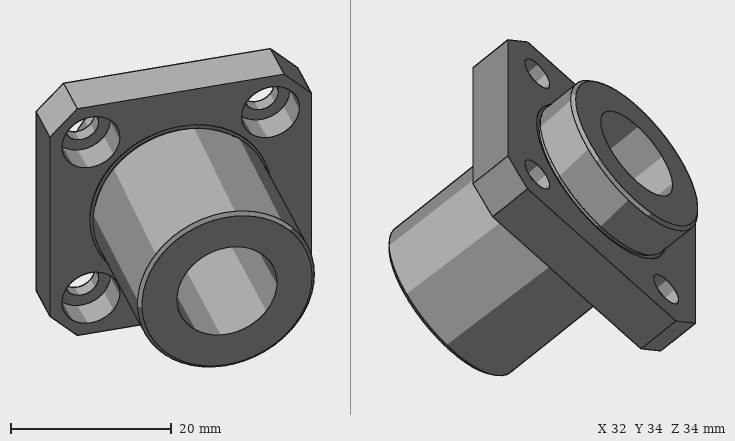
import cadquery as cq

flange_side = 34.0
flange_thickness = 6.0
corner_clip = 3.57
hole_spacing = 23.32
hole_diameter = 4.5
counterbore_diameter = 7.5
counterbore_depth = 4.1

sleeve_length = 32.0
sleeve_diameter = 23.0
bore_diameter = 13.0
end_chamfer = 0.45
flange_start = 6.0
flange_end = flange_start + flange_thickness

relief_width = 0.35
relief_depth = 0.3
relief_inner_diameter = sleeve_diameter - 2 * relief_depth
recess_outer_diameter = 23.55
recess_depth = 0.17


def cylinder_x(start, length, diameter):
    """Solid cylinder along X, centred on the part axis."""
    return cq.Workplane("YZ", origin=(start, 0, 0)).circle(diameter / 2).extrude(length)


def root_relief(start, length):
    """Ring of material to remove around the neck of the sleeve."""
    outer = cylinder_x(start, length, recess_outer_diameter)
    return outer.cut(cylinder_x(start, length, relief_inner_diameter))


sleeve = cylinder_x(0, sleeve_length, sleeve_diameter).faces("<X or >X").edges().chamfer(end_chamfer)

flange = (
    cq.Workplane("YZ", origin=(flange_start, 0, 0))
    .rect(flange_side, flange_side)
    .extrude(flange_thickness)
    .edges("|X")
    .chamfer(corner_clip)
    .faces(">X")
    .workplane(origin=(flange_end, 0, 0))
    .rect(hole_spacing, hole_spacing, forConstruction=True)
    .vertices()
    .cboreHole(hole_diameter, counterbore_diameter, counterbore_depth)
)

body = sleeve.union(flange)

relief_length = relief_width + recess_depth
for relief_start in (flange_start - relief_width, flange_end - recess_depth):
    body = body.cut(root_relief(relief_start, relief_length))

result = body.cut(cylinder_x(0, sleeve_length, bore_diameter))